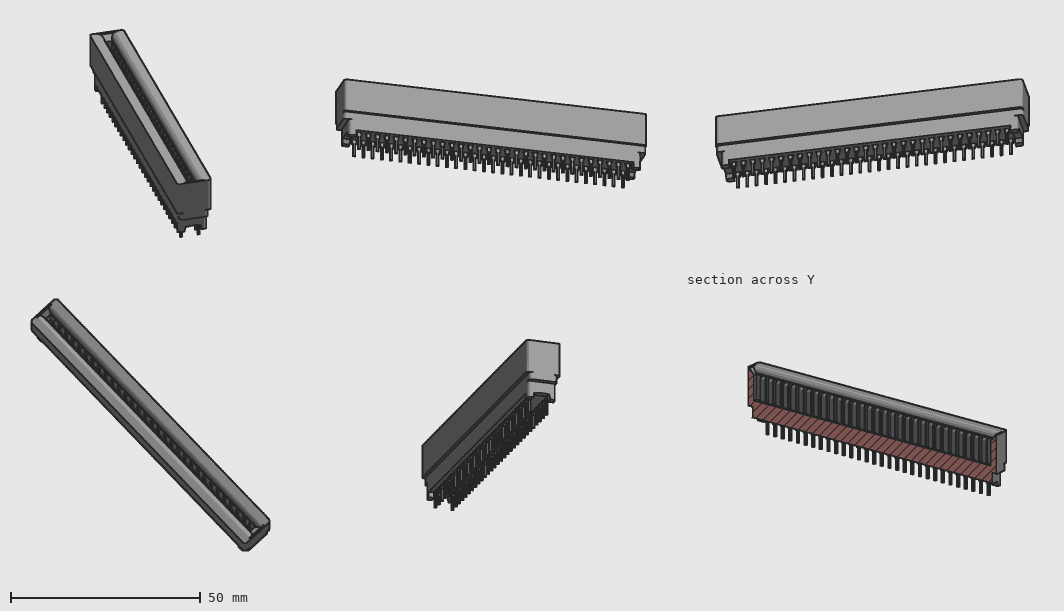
import cadquery as cq
import math


LENGTH = 82.8
WIDTH = 9.35
UPPER_DEPTH = 9.0
FLANGE_DEPTH = 11.0
BASE_DEPTH = 14.0
FOOT_DEPTH = 15.5
SIDE_STEP = 0.8
END_STEP = 1.4
CORNER_RADIUS = 0.8
LOWER_WIDTH = WIDTH - 2 * SIDE_STEP
BASE_LENGTH = LENGTH - 2 * END_STEP

FOOT_LENGTH = 2.0
NOTCH_ARCH = 0.15
NOTCH_TOP_WIDTH = 4.1
NOTCH_BOTTOM_WIDTH = 4.75

SLOT_END_MARGIN = 2.0
SLOT_WIDTH = 1.8
SLOT_DEPTH = 9.0
MOUTH_END_MARGIN = 0.5
MOUTH_WIDTH = 5.25
SLOT_LENGTH = LENGTH - 2 * SLOT_END_MARGIN
MOUTH_LENGTH = LENGTH - 2 * MOUTH_END_MARGIN
MOUTH_RADIUS = 1.6
MOUTH_DEPTH = 1.9
MOUTH_RAMP_TOP = 0.25

CONTACT_COUNT = 30
PITCH = 2.54
SPRING_WIDTH = 1.52
SPRING_REACH = 0.55
SPRING_TOP_DEPTH = 1.9
SPRING_RADIUS = 1.2
PIN_TIP_DEPTH = 18.67
PIN_ROW_SPACING = 4.8
PIN_WIDTH = 0.55
PIN_THICKNESS = 0.5
SHOULDER_TOP_WIDTH = 1.5
SHOULDER_MIDDLE_WIDTH = 1.05
SHOULDER_MIDDLE_DEPTH = 14.5
SHOULDER_END_DEPTH = 15.25
EMBED = 0.5


def rounded_block(length, width, top_depth, bottom_depth):
    block = cq.Workplane("XY", origin=(0, 0, -bottom_depth)).rect(length, width)
    return block.extrude(bottom_depth - top_depth).edges("|Z").fillet(CORNER_RADIUS)


def make_housing():
    upper = rounded_block(LENGTH, WIDTH, 0, UPPER_DEPTH)
    flange = rounded_block(LENGTH, LOWER_WIDTH, UPPER_DEPTH, FLANGE_DEPTH)
    base = rounded_block(BASE_LENGTH, LOWER_WIDTH, FLANGE_DEPTH, FOOT_DEPTH)
    return upper.union(flange).union(base)


def foot_cutter():
    """Clears the space between the two feet and the notch across each foot."""
    gap_length = BASE_LENGTH - 2 * FOOT_LENGTH
    gap = cq.Workplane("XY", origin=(0, 0, -FOOT_DEPTH)).rect(gap_length, LOWER_WIDTH)
    gap = gap.extrude(FOOT_DEPTH - BASE_DEPTH)
    arch_foot = -BASE_DEPTH - NOTCH_ARCH
    notch = (
        cq.Workplane("YZ", origin=(-LENGTH / 2, 0, 0))
        .moveTo(-NOTCH_TOP_WIDTH / 2, arch_foot)
        .threePointArc((0, -BASE_DEPTH), (NOTCH_TOP_WIDTH / 2, arch_foot))
        .lineTo(NOTCH_BOTTOM_WIDTH / 2, -FOOT_DEPTH)
        .lineTo(-NOTCH_BOTTOM_WIDTH / 2, -FOOT_DEPTH)
        .close()
        .extrude(LENGTH)
    )
    return gap.union(notch)


def mouth_cutter():
    """Flare with quarter-round sides that steepen into the slot, and a 45 degree ramp at each end."""
    half_mouth = MOUTH_WIDTH / 2
    half_throat = half_mouth - MOUTH_RADIUS
    half_slot = SLOT_WIDTH / 2
    arc_middle_y = half_throat + MOUTH_RADIUS * (1 - math.sin(math.pi / 4))
    arc_middle_z = -MOUTH_RADIUS * (1 - math.cos(math.pi / 4))
    sides = (
        cq.Workplane("YZ", origin=(-MOUTH_LENGTH / 2, 0, 0))
        .moveTo(-half_mouth, 0)
        .threePointArc((-arc_middle_y, arc_middle_z), (-half_throat, -MOUTH_RADIUS))
        .lineTo(-half_slot, -MOUTH_DEPTH)
        .lineTo(half_slot, -MOUTH_DEPTH)
        .lineTo(half_throat, -MOUTH_RADIUS)
        .threePointArc((arc_middle_y, arc_middle_z), (half_mouth, 0))
        .close()
        .extrude(MOUTH_LENGTH)
    )
    ramp_bottom = MOUTH_RAMP_TOP + SLOT_END_MARGIN - MOUTH_END_MARGIN
    ends = (
        cq.Workplane("XZ", origin=(0, half_mouth, 0))
        .moveTo(-MOUTH_LENGTH / 2, 0)
        .lineTo(-MOUTH_LENGTH / 2, -MOUTH_RAMP_TOP)
        .lineTo(-SLOT_LENGTH / 2, -ramp_bottom)
        .lineTo(-SLOT_LENGTH / 2, -MOUTH_DEPTH)
        .lineTo(SLOT_LENGTH / 2, -MOUTH_DEPTH)
        .lineTo(SLOT_LENGTH / 2, -ramp_bottom)
        .lineTo(MOUTH_LENGTH / 2, -MOUTH_RAMP_TOP)
        .lineTo(MOUTH_LENGTH / 2, 0)
        .close()
        .extrude(MOUTH_WIDTH)
    )
    return sides.intersect(ends)


def slot_cutter():
    slot = cq.Workplane("XY", origin=(0, 0, -SLOT_DEPTH)).rect(SLOT_LENGTH, SLOT_WIDTH)
    return slot.extrude(SLOT_DEPTH)


def make_spring():
    """Spring on the +Y slot wall, centred on X, with a rounded lead-in at its top."""
    wall = SLOT_WIDTH / 2
    face = wall - SPRING_REACH
    sweep = math.acos(1 - SPRING_REACH / SPRING_RADIUS)
    arc_end = -SPRING_TOP_DEPTH - SPRING_RADIUS * math.sin(sweep)
    arc_middle = (
        face + SPRING_RADIUS * (1 - math.cos(sweep / 2)),
        arc_end + SPRING_RADIUS * math.sin(sweep / 2),
    )
    return (
        cq.Workplane("YZ", origin=(-SPRING_WIDTH / 2, 0, 0))
        .moveTo(wall + EMBED, -SPRING_TOP_DEPTH)
        .lineTo(wall, -SPRING_TOP_DEPTH)
        .threePointArc(arc_middle, (face, arc_end))
        .lineTo(face, -SLOT_DEPTH - EMBED)
        .lineTo(wall + EMBED, -SLOT_DEPTH - EMBED)
        .close()
        .extrude(SPRING_WIDTH)
    )


def make_pin():
    """Solder pin of the +Y row, centred on X, with a tapered shoulder under the base."""
    right_side = [
        (SHOULDER_TOP_WIDTH / 2, EMBED - BASE_DEPTH),
        (SHOULDER_TOP_WIDTH / 2, -BASE_DEPTH),
        (SHOULDER_MIDDLE_WIDTH / 2, -SHOULDER_MIDDLE_DEPTH),
        (SHOULDER_MIDDLE_WIDTH / 2, -SHOULDER_END_DEPTH),
        (PIN_WIDTH / 2, -SHOULDER_END_DEPTH),
        (PIN_WIDTH / 2, -PIN_TIP_DEPTH),
    ]
    left_side = [(-x, z) for x, z in reversed(right_side)]
    outer_face = (PIN_ROW_SPACING + PIN_THICKNESS) / 2
    profile = cq.Workplane("XZ", origin=(0, outer_face, 0)).polyline(right_side + left_side).close()
    return profile.extrude(PIN_THICKNESS)


def make_contacts():
    """Every spring and pin, in two rows that mirror each other across the XZ plane."""
    spring = make_spring().val()
    pin = make_pin().val()
    first_x = -PITCH * (CONTACT_COUNT - 1) / 2
    contacts = []
    for index in range(CONTACT_COUNT):
        offset = cq.Vector(first_x + index * PITCH, 0, 0)
        for shape in (spring, pin):
            contacts.append(shape.translate(offset))
            contacts.append(shape.mirror("XZ").translate(offset))
    return contacts


housing = make_housing().cut(foot_cutter()).cut(slot_cutter()).cut(mouth_cutter())
result = cq.Workplane(housing.val().fuse(*make_contacts()))